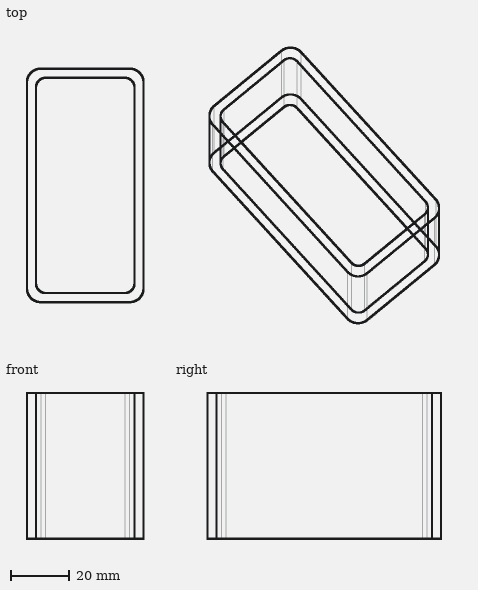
import cadquery as cq

width = 40.0
depth = 80.0
height = 50.0
wall = 3.2
outer_radius = 1.5 * wall
inner_radius = wall


def rounded_block(size_x, size_y, corner_radius):
    """Block of the full height with its vertical edges rounded."""
    block = cq.Workplane("XY").rect(size_x, size_y).extrude(height)
    return block.edges("|Z").fillet(corner_radius)


outside = rounded_block(width, depth, outer_radius)
bore = rounded_block(width - 2 * wall, depth - 2 * wall, inner_radius)

result = outside.cut(bore)